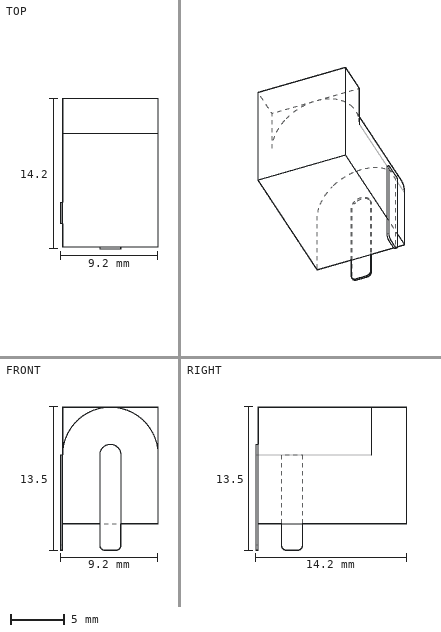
import cadquery as cq

housing_width = 9.0
housing_height = 11.0
housing_length = 14.0
flange_length = 3.3
barrel_radius = housing_width / 2
barrel_axis_height = housing_height - barrel_radius

terminal_thickness = 0.2
terminal_width = 2.0
terminal_drop = 2.5
terminal_corner_radius = 0.5
side_terminal_setback = 3.2
end_terminal_top = 7.5

barrel_length = housing_length - flange_length


def make_housing():
    barrel = (
        cq.Workplane("XZ")
        .moveTo(-barrel_radius, 0)
        .lineTo(-barrel_radius, barrel_axis_height)
        .threePointArc((0, housing_height), (barrel_radius, barrel_axis_height))
        .lineTo(barrel_radius, 0)
        .close()
        .extrude(-barrel_length)
    )
    flange = cq.Workplane("XY").box(
        housing_width, flange_length, housing_height, centered=(True, False, False)
    ).translate((0, barrel_length, 0))
    return barrel.union(flange)


def make_terminal(top_height):
    """Upright square-topped strip with rounded lower corners, its back face on Y = 0."""
    strip = cq.Workplane("XY").box(
        terminal_width,
        terminal_thickness,
        top_height + terminal_drop,
        centered=(True, False, False),
    ).translate((0, -terminal_thickness, -terminal_drop))
    return strip.edges("|Y and <Z").fillet(terminal_corner_radius)


def make_end_terminal():
    """Terminal on the barrel's end face, with a half-round top."""
    half_width = terminal_width / 2
    shoulder_height = end_terminal_top - half_width
    rounded_top = (
        cq.Workplane("XZ")
        .center(0, shoulder_height)
        .circle(half_width)
        .extrude(terminal_thickness)
    )
    return make_terminal(shoulder_height).union(rounded_top)


def make_side_terminal():
    """Terminal on the -X wall, ending where the wall meets the barrel's round top."""
    return (
        make_terminal(barrel_axis_height)
        .rotate((0, 0, 0), (0, 0, 1), -90)
        .translate((-barrel_radius, side_terminal_setback, 0))
    )


housing = make_housing()
end_terminal = make_end_terminal()
side_terminal = make_side_terminal()

result = cq.Compound.makeCompound([housing.val(), end_terminal.val(), side_terminal.val()])